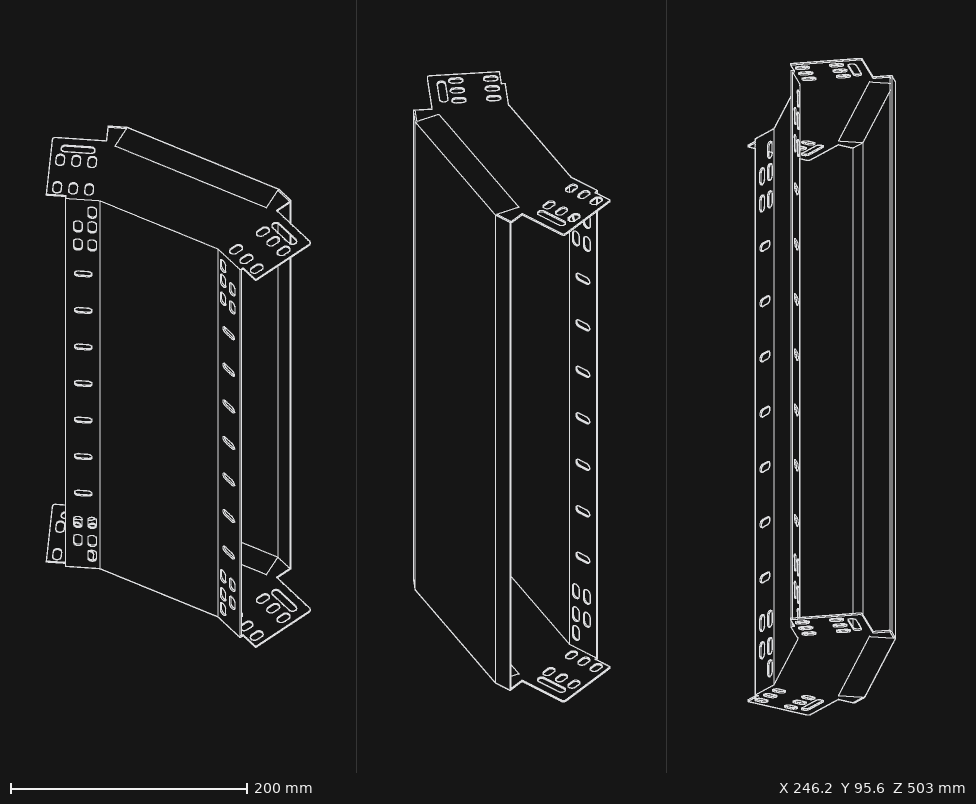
import cadquery as cq
import math

HEIGHT = 503.0
SHEET = 1.5
DEPTH = 81.0
FRONT_HALF_WIDTH = 56.5
WING_ANGLE = 22.5
FRONT_WING = 29.0

LEG_REACH = 46.0
LEG_FRONT = 3.25
LEG_BACK = 65.0
LEG_CORNER_RADIUS = 2.5

FLANGE_DEPTH = 22.5

SLOT_WIDTH = 7.0
SLOT_CUT_DEPTH = 15.0
PLATE_SLOT_LENGTH = 12.0
PLATE_SLOT_ALONG = (10.0, 23.5, 37.0)
PLATE_SLOT_ACROSS = (11.5, 41.5)
LONG_SLOT_LENGTH = 28.5
LONG_SLOT_ALONG = 23.0
LONG_SLOT_ACROSS = 54.0
WING_SLOT_LENGTH = 15.0
INNER_COLUMN = 6.5
OUTER_COLUMN = 18.5
INNER_COLUMN_DROPS = (17.0, 37.0, 62.0)
OUTER_COLUMN_DROPS = INNER_COLUMN_DROPS[1:]
MIDDLE_SLOT_ALONG = 14.0
MIDDLE_SLOT_COUNT = 7
MIDDLE_SLOT_SPAN = 300.0

HALF_HEIGHT = HEIGHT / 2
TURN = math.radians(WING_ANGLE)
MITRE = math.tan(TURN / 2)
BACK_WALL_FRONT = DEPTH - SHEET
MIDDLE_SLOT_PITCH = MIDDLE_SLOT_SPAN / (MIDDLE_SLOT_COUNT - 1)
PLATE_BOTTOMS = (-HALF_HEIGHT, HALF_HEIGHT - SHEET)


def leg_point(along, across):
    """Plan position of a point given in the frame of the right-hand leg."""
    x = FRONT_HALF_WIDTH + along * math.cos(TURN) + across * math.sin(TURN)
    y = -along * math.sin(TURN) + across * math.cos(TURN)
    return x, y


def fold_point(across):
    """Plan position on the mitre line where middle wall and wing meet."""
    return FRONT_HALF_WIDTH + across * MITRE, across


def mirrored_outline(right_points):
    """Close a plan outline by mirroring its right half about the centre line."""
    return right_points + [(-x, y) for x, y in reversed(right_points)]


def prism(points, bottom, height):
    return cq.Workplane("XY").workplane(offset=bottom).polyline(points).close().extrude(height)


def wall(inner, outer, reach):
    """Full-height folded wall between two depths, its wings ending at the given reach."""
    front = [fold_point(inner), leg_point(reach, inner)]
    back = [leg_point(reach, outer), fold_point(outer)]
    return prism(mirrored_outline(front + back), -HALF_HEIGHT, HEIGHT)


def both_sides(cutter):
    """The cutter together with its mirror image on the left-hand side."""
    return cutter.union(cutter.mirror("YZ"))


def leg_plane(along, across, z, normal):
    """Plane at a leg position whose local x axis runs along the leg."""
    x, y = leg_point(along, across)
    return cq.Plane(origin=(x, y, z), xDir=(math.cos(TURN), -math.sin(TURN), 0), normal=normal)


def slot(plane, length, angle):
    """Cutter for one round-ended slot, turned by the angle from the leg direction."""
    return cq.Workplane(plane).slot2D(length, SLOT_WIDTH, angle).extrude(SLOT_CUT_DEPTH / 2, both=True)


def plate_slot(along, across, z, length, angle):
    return both_sides(slot(leg_plane(along, across, z, (0, 0, 1)), length, angle))


def wing_slot(along, z, angle):
    outward = (-math.sin(TURN), -math.cos(TURN), 0)
    return both_sides(slot(leg_plane(along, 0, z, outward), WING_SLOT_LENGTH, angle))


def end_plate(bottom):
    """Flat plate closing one end, with a slotted coupling leg on each side."""
    right_half = [
        fold_point(0),
        leg_point(FRONT_WING, 0),
        leg_point(FRONT_WING, LEG_FRONT),
        leg_point(LEG_REACH, LEG_FRONT),
        leg_point(LEG_REACH, LEG_BACK),
        leg_point(0, LEG_BACK),
        leg_point(0, BACK_WALL_FRONT),
        fold_point(BACK_WALL_FRONT),
    ]
    plate = prism(mirrored_outline(right_half), bottom, SHEET)
    plate = plate.edges("|Z").edges("<X or >X").fillet(LEG_CORNER_RADIUS)
    middle = bottom + SHEET / 2
    for along in PLATE_SLOT_ALONG:
        for across in PLATE_SLOT_ACROSS:
            plate = plate.cut(plate_slot(along, across, middle, PLATE_SLOT_LENGTH, 90))
    return plate.cut(plate_slot(LONG_SLOT_ALONG, LONG_SLOT_ACROSS, middle, LONG_SLOT_LENGTH, 0))


def flange(bottom):
    """Flat flange of the cover, seated in a matching notch of an end plate."""
    half_width = fold_point(BACK_WALL_FRONT)[0]
    right_half = [(half_width, DEPTH - FLANGE_DEPTH), (half_width, BACK_WALL_FRONT)]
    return prism(mirrored_outline(right_half), bottom, SHEET)


def coupling_slots():
    """Upright slots in both wings, in two columns near each end."""
    cutters = []
    for along, drops in ((INNER_COLUMN, INNER_COLUMN_DROPS), (OUTER_COLUMN, OUTER_COLUMN_DROPS)):
        for drop in drops:
            z = HALF_HEIGHT - drop
            cutters += [wing_slot(along, z, 90), wing_slot(along, -z, 90)]
    return cutters


def middle_slots():
    """Evenly spaced slots lying across both wings."""
    lowest = -MIDDLE_SLOT_SPAN / 2
    heights = [lowest + index * MIDDLE_SLOT_PITCH for index in range(MIDDLE_SLOT_COUNT)]
    return [wing_slot(MIDDLE_SLOT_ALONG, z, 0) for z in heights]


def make_tray():
    """Folded front wall joined to two slotted end plates."""
    tray = wall(0, SHEET, FRONT_WING)
    for bottom in PLATE_BOTTOMS:
        tray = tray.union(end_plate(bottom)).cut(flange(bottom))
    for cutter in coupling_slots() + middle_slots():
        tray = tray.cut(cutter)
    return tray


def make_cover():
    """Folded back wall with a flange at each end."""
    cover = wall(BACK_WALL_FRONT, DEPTH, 0)
    for bottom in PLATE_BOTTOMS:
        cover = cover.union(flange(bottom))
    return cover


tray = make_tray()
cover = make_cover()

result = cq.Compound.makeCompound([tray.val(), cover.val()])